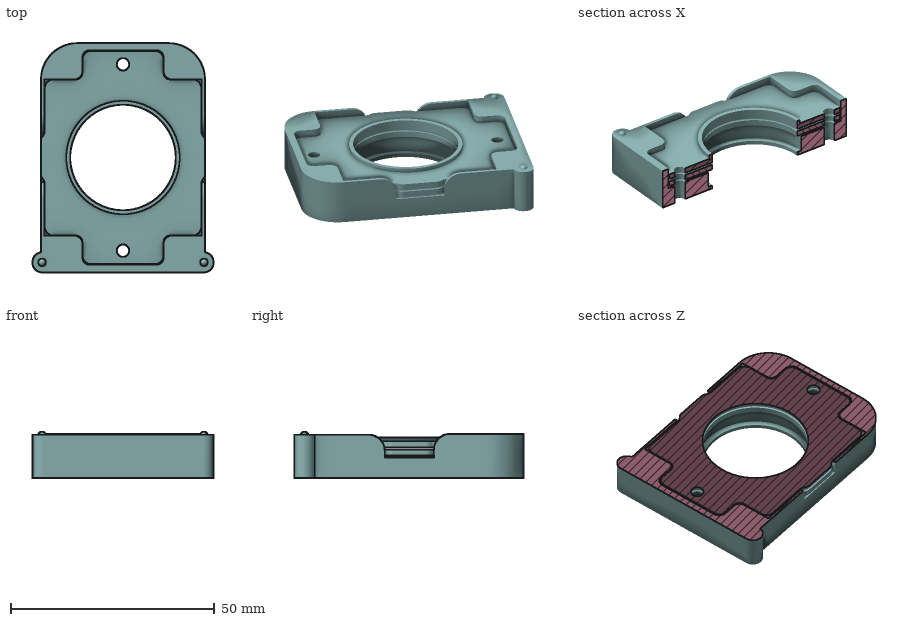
import cadquery as cq
import math

BODY_WIDTH = 40.4
BODY_LENGTH = 56.45
BODY_CENTER_Y = -0.075
REAR_HEIGHT = 10.9
FRONT_HEIGHT = 10.7
TOTAL_HEIGHT = 11.45
REAR_CORNER_RADIUS = 9.0

FOOT_SPAN = 44.6
FOOT_DEPTH = 5.05
FOOT_RADIUS = 2.5
NUB_RADIUS = 0.95
NUB_SPACING = 39.8

POCKET_FLOOR = 5.1
POCKET_WIDTH = 38.8
POCKET_LENGTH = 38.4
ARM_POCKET_WIDTH = 20.0
ARM_POCKET_LENGTH = 52.75
ARM_POCKET_CONVEX_RADIUS = 2.0
ARM_POCKET_CONCAVE_RADIUS = 1.8

WIDE_GAP = 0.2
NARROW_GAP = 0.05

NOTCH_WIDTH = 12.05
NOTCH_ROUND = 4.0

RING_BORE_DIAMETER = 28.4
OPENING_DIAMETER = 25.9
BORE_FLOOR = 1.0
SCREW_DIAMETER = 3.0
SCREW_OFFSET = 22.9

PLATE_THICKNESS = 1.5
PLATE_RADIUS = 2.0
PLATE_CONCAVE_RADIUS = 1.7
LOWER_PLATE_BOTTOM = 5.5
PLATE_SPACING = 0.5
RING_DIAMETER = 27.9
RING_HEIGHT = 1.0
EAR_HALF_LENGTH = 5.3

PLATE_WIDTH = POCKET_WIDTH - 2 * WIDE_GAP
PLATE_LENGTH = POCKET_LENGTH - 2 * NARROW_GAP
ARM_WIDTH = ARM_POCKET_WIDTH - 2 * NARROW_GAP
ARM_LENGTH = ARM_POCKET_LENGTH - 2 * WIDE_GAP
UPPER_PLATE_BOTTOM = LOWER_PLATE_BOTTOM + PLATE_THICKNESS + PLATE_SPACING
SCREW_POINTS = [(0, SCREW_OFFSET), (0, -SCREW_OFFSET)]


def centered_block(width, length, bottom, height):
    return cq.Workplane("XY").workplane(offset=bottom).rect(width, length).extrude(height)


def cylinder(diameter, bottom, height):
    return cq.Workplane("XY").workplane(offset=bottom).circle(diameter / 2).extrude(height)


def edges_near(half_x, half_y):
    """Select the four vertical edges at (+-half_x, +-half_y)."""
    reach = 0.05
    bottom = 0
    top = 2 * TOTAL_HEIGHT
    selector = None
    for x in (-half_x, half_x):
        for y in (-half_y, half_y):
            box = cq.selectors.BoxSelector((x - reach, y - reach, bottom), (x + reach, y + reach, top))
            selector = box if selector is None else selector + box
    return selector


def cross(width, length, arm_width, arm_length, bottom, height, inner_radius, outer_radius):
    """Rectangle with a rounded arm at each Y end."""
    shape = centered_block(width, length, bottom, height)
    shape = shape.union(centered_block(arm_width, arm_length, bottom, height))
    shape = shape.edges(edges_near(arm_width / 2, length / 2)).fillet(inner_radius)
    return shape.edges(edges_near(arm_width / 2, arm_length / 2)).fillet(outer_radius)


def ears(bottom):
    """Bar across the plate whose ends blend into its sides with two tangent arcs per corner."""
    side = PLATE_WIDTH / 2
    tip = BODY_WIDTH / 2
    step = (tip - side) / 2
    sweep = math.acos(1 - step / PLATE_RADIUS)
    blend = PLATE_RADIUS * math.sin(sweep)
    mid_drop = PLATE_RADIUS * (1 - math.cos(sweep / 2))
    mid_run = PLATE_RADIUS * math.sin(sweep / 2)
    flat = EAR_HALF_LENGTH - blend
    root = EAR_HALF_LENGTH + blend
    half = (
        cq.Workplane("XY")
        .workplane(offset=bottom)
        .moveTo(0, -root)
        .lineTo(side, -root)
        .threePointArc((side + mid_drop, mid_run - root), (side + step, -EAR_HALF_LENGTH))
        .threePointArc((tip - mid_drop, -flat - mid_run), (tip, -flat))
        .lineTo(tip, flat)
        .threePointArc((tip - mid_drop, flat + mid_run), (side + step, EAR_HALF_LENGTH))
        .threePointArc((side + mid_drop, root - mid_run), (side, root))
        .lineTo(0, root)
        .close()
        .extrude(PLATE_THICKNESS)
    )
    return half.union(half.mirror("YZ"))


def make_plate(bottom):
    plate = cross(
        PLATE_WIDTH, PLATE_LENGTH, ARM_WIDTH, ARM_LENGTH,
        bottom, PLATE_THICKNESS, PLATE_CONCAVE_RADIUS, PLATE_RADIUS,
    )
    plate = plate.edges(edges_near(PLATE_WIDTH / 2, PLATE_LENGTH / 2)).fillet(PLATE_RADIUS)
    plate = plate.union(ears(bottom))
    plate = plate.cut(cylinder(OPENING_DIAMETER, 0, TOTAL_HEIGHT))
    return plate.cut(screw_holes())


def make_ring(bottom):
    """Raised rim around the opening of the upper plate."""
    return cylinder(RING_DIAMETER, bottom, RING_HEIGHT).cut(cylinder(OPENING_DIAMETER, bottom, RING_HEIGHT))


def screw_holes():
    return cq.Workplane("XY").pushPoints(SCREW_POINTS).circle(SCREW_DIAMETER / 2).extrude(TOTAL_HEIGHT)


def notch_side(direction, top):
    """One half of the finger notch, from the middle to a rounded lip; direction is +1 or -1 in Y."""
    edge = direction * NOTCH_WIDTH / 2
    lip = edge + direction * NOTCH_ROUND
    diagonal = NOTCH_ROUND * math.sqrt(0.5)
    round_middle = (lip - direction * diagonal, top - NOTCH_ROUND + diagonal)
    return (
        cq.Workplane("YZ")
        .moveTo(0, POCKET_FLOOR)
        .lineTo(edge, POCKET_FLOOR)
        .lineTo(edge, top - NOTCH_ROUND)
        .threePointArc(round_middle, (lip, top))
        .lineTo(lip, TOTAL_HEIGHT)
        .lineTo(0, TOTAL_HEIGHT)
        .close()
        .extrude(BODY_WIDTH, both=True)
    )


def make_housing():
    front = BODY_CENTER_Y - BODY_LENGTH / 2
    foot_y = front + FOOT_DEPTH / 2

    block_length = BODY_LENGTH - FOOT_DEPTH / 2
    block_y = BODY_CENTER_Y + FOOT_DEPTH / 4
    housing = centered_block(BODY_WIDTH, block_length, 0, REAR_HEIGHT).translate((0, block_y, 0))
    housing = housing.edges("|Z and >Y").fillet(REAR_CORNER_RADIUS)

    front_relief = centered_block(FOOT_SPAN, BODY_LENGTH, FRONT_HEIGHT, TOTAL_HEIGHT)
    housing = housing.cut(front_relief.translate((0, -BODY_LENGTH / 2, 0)))

    feet = centered_block(FOOT_SPAN, FOOT_DEPTH, 0, FRONT_HEIGHT).edges("|Z").fillet(FOOT_RADIUS)
    housing = housing.union(feet.translate((0, foot_y, 0)))
    for x in (-NUB_SPACING / 2, NUB_SPACING / 2):
        nub = cq.Workplane("XY").sphere(NUB_RADIUS).translate((x, foot_y, TOTAL_HEIGHT - NUB_RADIUS))
        housing = housing.union(nub)

    housing = housing.cut(cross(
        POCKET_WIDTH, POCKET_LENGTH, ARM_POCKET_WIDTH, ARM_POCKET_LENGTH,
        POCKET_FLOOR, TOTAL_HEIGHT, ARM_POCKET_CONVEX_RADIUS, ARM_POCKET_CONCAVE_RADIUS,
    ))
    housing = housing.cut(notch_side(1, REAR_HEIGHT))
    housing = housing.cut(notch_side(-1, FRONT_HEIGHT))
    housing = housing.cut(cylinder(RING_BORE_DIAMETER, BORE_FLOOR, TOTAL_HEIGHT))
    housing = housing.cut(cylinder(OPENING_DIAMETER, 0, TOTAL_HEIGHT))
    return housing.cut(screw_holes())


housing = make_housing()
lower_plate = make_plate(LOWER_PLATE_BOTTOM)
upper_plate = make_plate(UPPER_PLATE_BOTTOM)
upper_plate = upper_plate.union(make_ring(UPPER_PLATE_BOTTOM + PLATE_THICKNESS))

result = cq.Compound.makeCompound([housing.val(), lower_plate.val(), upper_plate.val()])